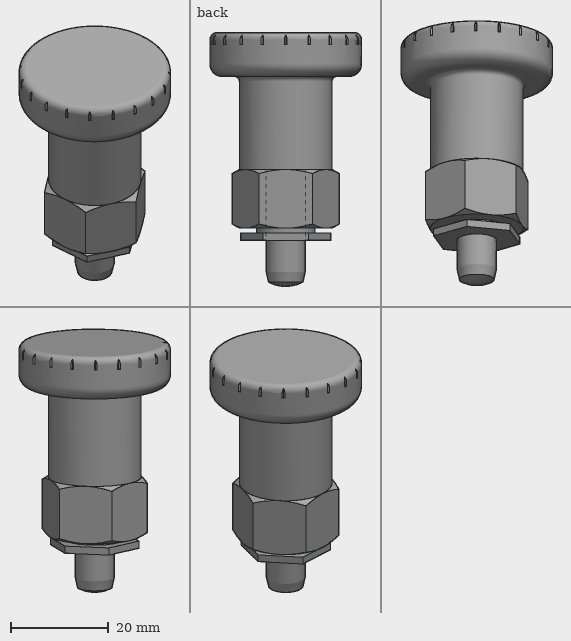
import cadquery as cq
import math


hex_flats = 19.0
hex_height = 12.0
hex_chamfer_angle = 30
shoulder_diameter = 12.0
shoulder_length = 1.0
foot_flats = 16.0
foot_thickness = 1.5

knob_diameter = 31.0
knob_height = 9.0
knob_top_radius = 1.5
knob_bottom_radius = 2.5
neck_diameter = hex_flats
neck_length = 19.0
neck_fillet_radius = 1.0

notch_count = 20
notch_width = 0.55
notch_depth = 0.35
notch_end_below_top = 2.5

pin_diameter = 8.0
pin_straight_length = 6.5
tip_taper_length = 2.05
tip_diameter = 7.1
tip_dome_height = 0.95

neck_bottom_z = hex_height
knob_bottom_z = neck_bottom_z + neck_length
knob_top_z = knob_bottom_z + knob_height
foot_top_z = -shoulder_length
foot_bottom_z = foot_top_z - foot_thickness
taper_top_z = foot_bottom_z - pin_straight_length
taper_bottom_z = taper_top_z - tip_taper_length
pin_bottom_z = taper_bottom_z - tip_dome_height


def revolve_about_z(profile):
    """Turn a closed profile, drawn as (radius, z) on the XZ plane, about the Z axis."""
    return profile.close().revolve(360, (0, 0, 0), (0, 1, 0))


def hexagonal_prism(flats, bottom_z, height):
    """Hexagonal prism with two of its corners on the X axis."""
    corner_diameter = flats / math.cos(math.pi / 6)
    return cq.Workplane("XY").workplane(offset=bottom_z).polygon(6, corner_diameter).extrude(height)


def chamfer_envelope():
    """Turned shape whose conical ends bevel the corners of the large hexagon."""
    face_radius = hex_flats / 2
    outer_radius = hex_flats / math.sqrt(3)
    cone_drop = (outer_radius - face_radius) * math.tan(math.radians(hex_chamfer_angle))
    return revolve_about_z(
        cq.Workplane("XZ")
        .moveTo(0, 0)
        .lineTo(face_radius, 0)
        .lineTo(outer_radius, cone_drop)
        .lineTo(outer_radius, hex_height - cone_drop)
        .lineTo(face_radius, hex_height)
        .lineTo(0, hex_height)
    )


def make_body():
    """Chamfered hexagon, round shoulder and thin hexagonal foot, bored through for the pin."""
    large_hexagon = hexagonal_prism(hex_flats, 0, hex_height).intersect(chamfer_envelope())
    shoulder = cq.Workplane("XY").circle(shoulder_diameter / 2).extrude(-shoulder_length)
    foot = hexagonal_prism(foot_flats, foot_bottom_z, foot_thickness)
    bore = (
        cq.Workplane("XY")
        .workplane(offset=foot_bottom_z)
        .circle(pin_diameter / 2)
        .extrude(hex_height - foot_bottom_z)
    )
    return large_hexagon.union(shoulder).union(foot).cut(bore)


def make_notch_cutter():
    """Vertical V-shaped cutter at the -Y side of the knob."""
    rim_y = -knob_diameter / 2
    root_y = rim_y + notch_depth
    mouth_y = rim_y - notch_depth
    return (
        cq.Workplane("XY")
        .workplane(offset=knob_top_z - notch_end_below_top)
        .polyline([(0, root_y), (notch_width, mouth_y), (-notch_width, mouth_y)])
        .close()
        .extrude(notch_end_below_top)
    )


def make_knob():
    """Round knob and its neck, with rounded edges and notches around the rim."""
    knob_radius = knob_diameter / 2
    neck_radius = neck_diameter / 2
    knob = revolve_about_z(
        cq.Workplane("XZ")
        .moveTo(0, neck_bottom_z)
        .lineTo(neck_radius, neck_bottom_z)
        .lineTo(neck_radius, knob_bottom_z - neck_fillet_radius)
        .radiusArc((neck_radius + neck_fillet_radius, knob_bottom_z), neck_fillet_radius)
        .lineTo(knob_radius - knob_bottom_radius, knob_bottom_z)
        .radiusArc((knob_radius, knob_bottom_z + knob_bottom_radius), -knob_bottom_radius)
        .lineTo(knob_radius, knob_top_z - knob_top_radius)
        .radiusArc((knob_radius - knob_top_radius, knob_top_z), -knob_top_radius)
        .lineTo(0, knob_top_z)
    )
    notch = make_notch_cutter()
    for index in range(notch_count):
        angle = index * 360 / notch_count
        knob = knob.cut(notch.rotate((0, 0, 0), (0, 0, 1), angle))
    return knob


def make_pin():
    """Round pin reaching up to the knob, with a tapered, domed tip."""
    pin_radius = pin_diameter / 2
    tip_radius = tip_diameter / 2
    dome_radius = (tip_radius**2 + tip_dome_height**2) / (2 * tip_dome_height)
    return revolve_about_z(
        cq.Workplane("XZ")
        .moveTo(0, neck_bottom_z)
        .lineTo(pin_radius, neck_bottom_z)
        .lineTo(pin_radius, taper_top_z)
        .lineTo(tip_radius, taper_bottom_z)
        .radiusArc((0, pin_bottom_z), dome_radius)
    )


body = make_body()
knob = make_knob()
pin = make_pin()

result = cq.Compound.makeCompound([body.val(), knob.val(), pin.val()])